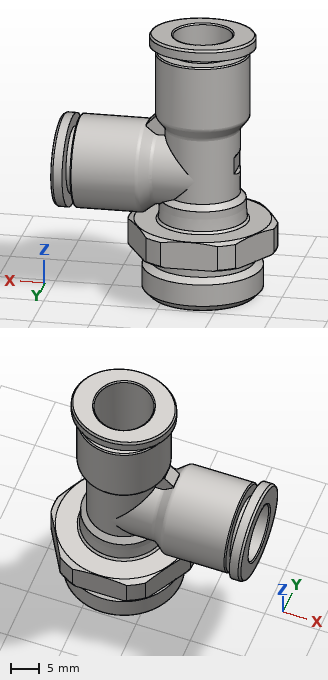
import cadquery as cq
import math


total_height = 47.6
socket_reach = 25.0
tee_height = total_height - socket_reach

thread_radius = 10.5
thread_end_chamfer = 1.25
thread_top = 5.2
relief_radius = 9.15
relief_bottom = 6.1
relief_top = 7.95
relief_flare = 0.45

hex_flats = 24.0
hex_corner_radius = 13.0
hex_bottom = 8.5
hex_top = 13.55
hex_top_radius = 11.9
hex_top_drop = 0.45
hex_bottom_chamfer = 0.25

barrel_radius = 6.5
neck_radius = 7.5
neck_cone_radius = 7.7
neck_foot_radius = 8.1
neck_foot_top = 14.0
neck_cone_top = 16.1
neck_top = 17.55
neck_shoulder_top = 18.55

socket_radius = 8.2
socket_cone_start = 7.9
socket_cone_end = 10.05
socket_blend_radius = 0.95
socket_rim = 21.8
socket_rim_chamfer = 0.25

collar_long_radius = 9.3
collar_short_radius = 8.05
collar_thickness = 2.05
collar_chamfer_height = 0.45
collar_chamfer_inset = 0.3
collar_neck_radius = 5.85
bore_radius = 5.2
bore_chamfer = 0.25
bore_depth = 14.3

web_thickness = 3.0
web_far = 9.7
web_near = 8.05

notch_depth = 0.48
notch_height = tee_height + 1.95
notch_floor_length = 2.95


def turned(points):
    """Solid turned about Z from (radius, height) points; the axis closes it."""
    bottom = (0, points[0][1])
    top = (0, points[-1][1])
    outline = [bottom] + points + [top]
    return cq.Workplane("XZ").polyline(outline).close().revolve(360, (0, 0), (0, 1))


def make_threaded_base():
    return turned([
        (thread_radius - thread_end_chamfer, 0),
        (thread_radius, thread_end_chamfer),
        (thread_radius, thread_top),
        (relief_radius, relief_bottom),
        (relief_radius, relief_top),
        (relief_radius + relief_flare, hex_bottom),
    ])


def make_hexagon():
    hex_corners = hex_flats / math.cos(math.pi / 6)
    prism = (
        cq.Workplane("XY", origin=(0, 0, hex_bottom))
        .polygon(6, hex_corners)
        .extrude(hex_top - hex_bottom)
    )
    envelope = turned([
        (hex_corner_radius - hex_bottom_chamfer, hex_bottom),
        (hex_corner_radius, hex_bottom + hex_bottom_chamfer),
        (hex_corner_radius, hex_top - hex_top_drop),
        (hex_top_radius, hex_top),
    ])
    return prism.intersect(envelope)


def make_stem():
    return turned([
        (neck_foot_radius, hex_top),
        (neck_cone_radius, neck_foot_top),
        (neck_radius, neck_cone_top),
        (neck_radius, neck_top),
        (barrel_radius, neck_shoulder_top),
        (barrel_radius, tee_height),
    ])


def make_socket():
    """Socket along +Z from the tee centre, collar widest along X."""
    collar_bottom = socket_reach - collar_thickness
    body = turned([
        (barrel_radius, 0),
        (barrel_radius, socket_cone_start),
        (socket_radius, socket_cone_end),
        (socket_radius, socket_rim - socket_rim_chamfer),
        (socket_radius - socket_rim_chamfer, socket_rim),
    ])
    cone_rims = cq.selectors.BoxSelector(
        (-0.48, -0.48, socket_cone_start - 0.48), (0.48, 0.48, socket_cone_end + 0.48)
    )
    body = body.edges(cone_rims).fillet(socket_blend_radius)
    collar_neck = (
        cq.Workplane("XY", origin=(0, 0, socket_rim))
        .circle(collar_neck_radius)
        .extrude(collar_bottom - socket_rim)
    )
    collar = (
        cq.Workplane("XY", origin=(0, 0, collar_bottom))
        .ellipse(collar_long_radius, collar_short_radius)
        .extrude(collar_thickness)
        .faces(">Z").edges()
        .chamfer(collar_chamfer_height, collar_chamfer_inset)
    )
    return body.union(collar_neck).union(collar)


def make_bore():
    """Blind tube bore of a socket along +Z, widened at its mouth."""
    return turned([
        (bore_radius, socket_reach - bore_depth),
        (bore_radius, socket_reach - bore_chamfer),
        (bore_radius + bore_chamfer, socket_reach),
    ])


def place_up(solid):
    return solid.translate((0, 0, tee_height))


def place_sideways(solid):
    """Turn a +Z solid to +X, with its X direction going to Y."""
    turned_solid = solid.rotate((0, 0, 0), (0, 0, 1), 90).rotate((0, 0, 0), (0, 1, 0), 90)
    return place_up(turned_solid)


def make_web():
    outline = [(0, 0), (web_far, 0), (web_far, web_near), (web_near, web_far), (0, web_far)]
    web = cq.Workplane("XZ").polyline(outline).close().extrude(web_thickness / 2, both=True)
    return place_up(web)


def make_notch():
    """Flat-bottomed cut with 45 degree end walls, running along Y."""
    floor_half = notch_floor_length / 2
    mouth_half = floor_half + notch_depth
    outline = [
        (-barrel_radius, notch_height - mouth_half),
        (-barrel_radius + notch_depth, notch_height - floor_half),
        (-barrel_radius + notch_depth, notch_height + floor_half),
        (-barrel_radius, notch_height + mouth_half),
    ]
    return cq.Workplane("XZ").polyline(outline).close().extrude(barrel_radius, both=True)


socket = make_socket()
bore = make_bore()

result = make_threaded_base().union(make_hexagon()).union(make_stem())
result = result.union(place_up(socket)).union(place_sideways(socket)).union(make_web())
result = result.cut(make_notch()).cut(place_up(bore)).cut(place_sideways(bore))